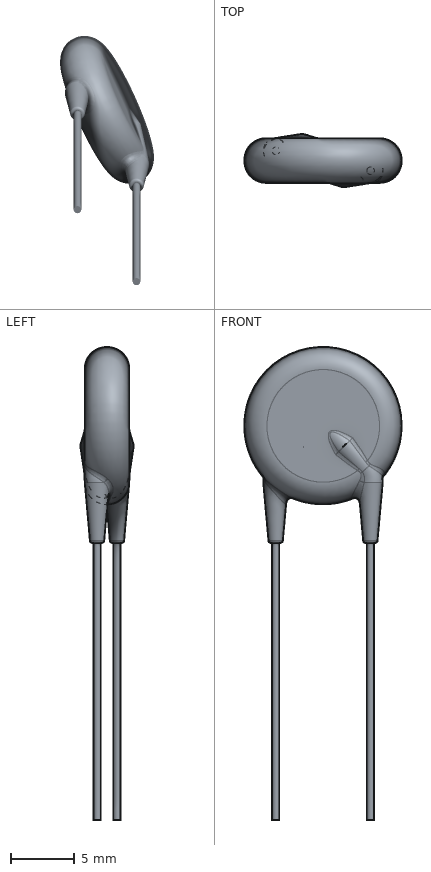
import cadquery as cq
import math

total_height = 37.5
overall_depth = 4.25
disc_diameter = 12.5
disc_radius = disc_diameter / 2
disc_thickness = 3.55
rim_radius = disc_thickness / 2

lead_diameter = 0.6
lead_half_pitch = 3.75
lead_y = -0.8
lead_bottom_z = disc_radius - total_height

coat_radius = 0.995
sleeve_end_radius = 0.55
sleeve_top_z = -4.5
sleeve_bottom_z = -9.3
sleeve_edge_round = 0.22
blend_radius = 0.5

up = cq.Vector(0, 0, 1)
bend_corner = cq.Vector(lead_half_pitch, lead_y, -3.82)
crest_tilt = math.radians(8)
crest_y = coat_radius / math.cos(crest_tilt) - overall_depth / 2
crest = cq.Vector(1.7, crest_y, -1.65)
nose_end = cq.Vector(0.38, -0.7, -0.35)
bend_start = cq.Vector(lead_half_pitch, lead_y, sleeve_top_z)
bend_length = (bend_corner - bend_start).Length
bend_end = bend_corner + (crest - bend_corner).normalized() * bend_length


def make_disc():
    """Disc across the XZ plane with a fully rounded rim."""
    flat_radius = disc_radius - rim_radius
    profile = (
        cq.Workplane("XY")
        .moveTo(0, -rim_radius)
        .lineTo(flat_radius, -rim_radius)
        .threePointArc((disc_radius, 0), (flat_radius, rim_radius))
        .lineTo(0, rim_radius)
        .close()
    )
    return profile.revolve(360, (0, 0, 0), (0, 1, 0))


def make_sleeve():
    """Tapered sleeve with a rounded lower edge."""
    height = sleeve_top_z - sleeve_bottom_z
    sleeve = cq.Workplane(
        cq.Solid.makeCone(
            sleeve_end_radius,
            coat_radius,
            height,
            cq.Vector(lead_half_pitch, lead_y, sleeve_bottom_z),
            up,
        )
    )
    return sleeve.faces("<Z").edges().fillet(sleeve_edge_round)


def make_coating():
    """Sleeve, smooth bend and mitred nose of one coated lead."""
    centerline = cq.Wire.assembleEdges(
        [
            cq.Edge.makeTangentArc(bend_start, up, bend_end),
            cq.Edge.makeLine(bend_end, crest),
            cq.Edge.makeLine(crest, nose_end),
        ]
    )
    tube = (
        cq.Workplane("XY", origin=bend_start.toTuple())
        .circle(coat_radius)
        .sweep(cq.Workplane(centerline), transition="right")
    )
    return make_sleeve().union(tube)


def make_lead():
    """Bare wire from the bottom end up into the sleeve."""
    return (
        cq.Workplane("XY", origin=(lead_half_pitch, lead_y, lead_bottom_z))
        .circle(lead_diameter / 2)
        .extrude(sleeve_top_z - lead_bottom_z)
    )


def turn_half(shape):
    """Copy turned half a turn about Z, for the opposite lead."""
    return shape.rotate((0, 0, 0), (0, 0, 1), 180)


def blend_seams(body, first, second):
    """Fillet the edges of body where the surfaces of two joined shapes meet."""
    tolerance = 0.0005
    first_shell = first.val().Shells()[0]
    second_shell = second.val().Shells()[0]
    seams = []
    for edge in body.edges().vals():
        middle = cq.Vertex.makeVertex(*edge.positionAt(0.5).toTuple())
        gap = max(middle.distance(first_shell), middle.distance(second_shell))
        if gap < tolerance:
            seams.append(edge)
    return body.newObject(seams).fillet(blend_radius)


disc = make_disc()
coating = make_coating()
lead = make_lead()
result = disc
for side_coating in (coating, turn_half(coating)):
    result = blend_seams(result.union(side_coating), disc, side_coating)
for side_lead in (lead, turn_half(lead)):
    result = result.union(side_lead)